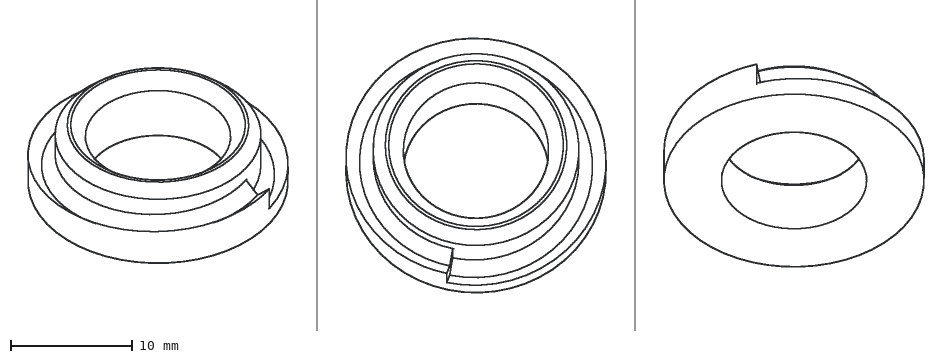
import cadquery as cq

outer_radius = 10.75
height = 6.0
bore_radius = 12.0 / 2
hub_radius = 17.0 / 2
hub_chamfer = 1.0
top_land = 0.28

ramp_start_height = 1.63
ramp_rise = 2.09
ramp_sections = 2
step_relief = 0.1
clearance = 0.43
ramp_overlap = 0.43

groove_radius = (hub_radius + outer_radius) / 2
groove_depth = groove_radius - hub_radius

countersink_radius = hub_radius - hub_chamfer - top_land
countersink_depth = countersink_radius - bore_radius

section_angle = 360 / ramp_sections
section_rise = ramp_rise / ramp_sections


def helix(radius, base):
    """One arc of the ramp's helix, counterclockwise from +X."""
    wire = cq.Wire.makeHelix(ramp_rise, section_rise, radius)
    return wire.translate(cq.Vector(0, 0, base)).Edges()[0]


def base_arc(radius):
    """Arc on the bottom plane below a helix of the same radius."""
    return cq.Edge.makeCircle(radius, angle1=0, angle2=section_angle)


def ramp_section(section):
    """Solid arc of the flange with the V groove climbing along its top."""
    crest = ramp_start_height + section * section_rise
    inner_radius = hub_radius - ramp_overlap
    rails = [
        base_arc(inner_radius),
        base_arc(outer_radius),
        helix(outer_radius, crest),
        helix(groove_radius, crest - groove_depth),
        helix(inner_radius, crest + ramp_overlap),
    ]
    next_rails = rails[1:] + rails[:1]
    faces = [cq.Face.makeRuledSurface(a, b) for a, b in zip(rails, next_rails)]
    for end in (0, 1):
        corners = [rail.positionAt(end) for rail in rails]
        faces.append(cq.Face.makeFromWires(cq.Wire.makePolygon(corners, close=True)))
    solid = cq.Solid.makeSolid(cq.Shell.makeShell(faces))
    return cq.Workplane(solid.fix()).rotate((0, 0, 0), (0, 0, 1), section * section_angle)


def step_cutter():
    """Sliver that ends the ramp just short of +X, continuing the low V section."""
    return (
        cq.Workplane("XZ")
        .moveTo(hub_radius, ramp_start_height)
        .lineTo(groove_radius, ramp_start_height - groove_depth)
        .lineTo(outer_radius + clearance, ramp_start_height + clearance)
        .lineTo(outer_radius + clearance, height)
        .lineTo(hub_radius, height)
        .close()
        .extrude(step_relief)
    )


def hub():
    """Central sleeve with a beveled top edge and a countersunk bore."""
    return (
        cq.Workplane("XZ")
        .moveTo(bore_radius, 0)
        .lineTo(hub_radius, 0)
        .lineTo(hub_radius, height - hub_chamfer)
        .lineTo(hub_radius - hub_chamfer, height)
        .lineTo(countersink_radius, height)
        .lineTo(bore_radius, height - countersink_depth)
        .close()
        .revolve(360, (0, 0, 0), (0, 1, 0))
    )


flange = ramp_section(0)
for section in range(1, ramp_sections):
    flange = flange.union(ramp_section(section))
result = flange.cut(step_cutter()).union(hub())